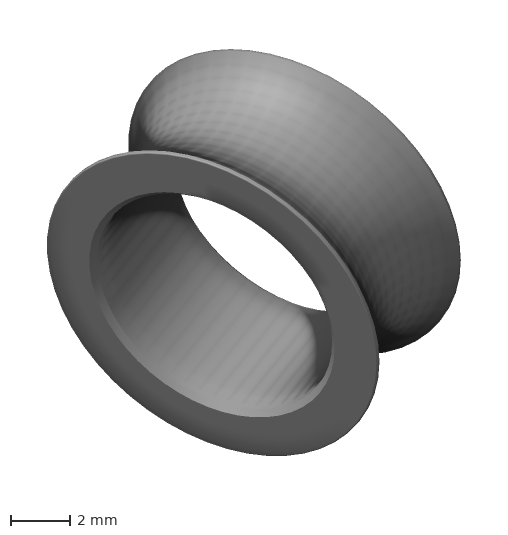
import cadquery as cq

outer_diameter = 12.7
width = 6.0
bore_diameter = 9.0
groove_diameter = 10.21
groove_width = 5.7
bore_chamfer = 0.2
rim_fillet = 0.05

outer_radius = outer_diameter / 2
bore_radius = bore_diameter / 2
groove_radius = groove_diameter / 2
half_width = width / 2
half_groove = groove_width / 2

section = (
    cq.Workplane("XY")
    .moveTo(bore_radius, -half_width)
    .lineTo(outer_radius, -half_width)
    .lineTo(outer_radius, -half_groove)
    .threePointArc((groove_radius, 0), (outer_radius, half_groove))
    .lineTo(outer_radius, half_width)
    .lineTo(bore_radius, half_width)
    .close()
)
ring = section.revolve(360, (0, 0, 0), (0, 1, 0))

bore_edges = cq.selectors.RadiusNthSelector(0)
ring = ring.faces("<Y or >Y").edges(bore_edges).chamfer(bore_chamfer)

rim_edges = cq.selectors.RadiusNthSelector(-1)
result = ring.faces("<Y or >Y").edges(rim_edges).fillet(rim_fillet)